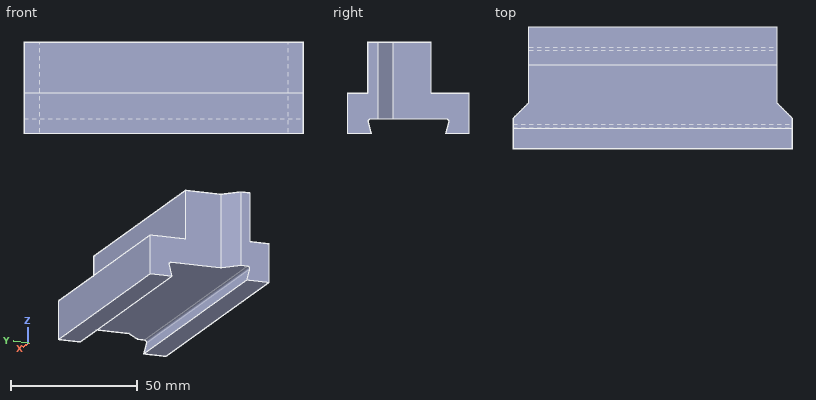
import cadquery as cq

length = 110.0
depth = 48.0
height = 36.0

base_height = 16.0
rail_front = 8.0
rail_back = 33.0

end_inset = 6.0
taper_start = 12.0
taper_end = taper_start + end_inset

groove_centre = 24.1
groove_depth = 5.7
groove_mouth = 29.3
groove_roof = 32.2
groove_corner_radius = 0.9


def tee_section():
    """Base with the upper rail, swept along X."""
    return (
        cq.Workplane("YZ")
        .polyline([
            (0, 0),
            (depth, 0),
            (depth, base_height),
            (rail_back, base_height),
            (rail_back, height),
            (rail_front, height),
            (rail_front, base_height),
            (0, base_height),
        ])
        .close()
        .extrude(length)
    )


def plan_outline():
    """Full-height plan shape, wide in front and narrower behind."""
    return (
        cq.Workplane("XY")
        .polyline([
            (0, 0),
            (length, 0),
            (length, taper_start),
            (length - end_inset, taper_end),
            (length - end_inset, depth),
            (end_inset, depth),
            (end_inset, taper_end),
            (0, taper_start),
        ])
        .close()
        .extrude(height)
    )


def dovetail_groove():
    """Groove wider at its roof than at its mouth."""
    return (
        cq.Workplane("YZ")
        .polyline([
            (groove_centre - groove_mouth / 2, 0),
            (groove_centre + groove_mouth / 2, 0),
            (groove_centre + groove_roof / 2, groove_depth),
            (groove_centre - groove_roof / 2, groove_depth),
        ])
        .close()
        .extrude(length)
        .edges("|X and >Z")
        .fillet(groove_corner_radius)
    )


result = tee_section().intersect(plan_outline()).cut(dovetail_groove())